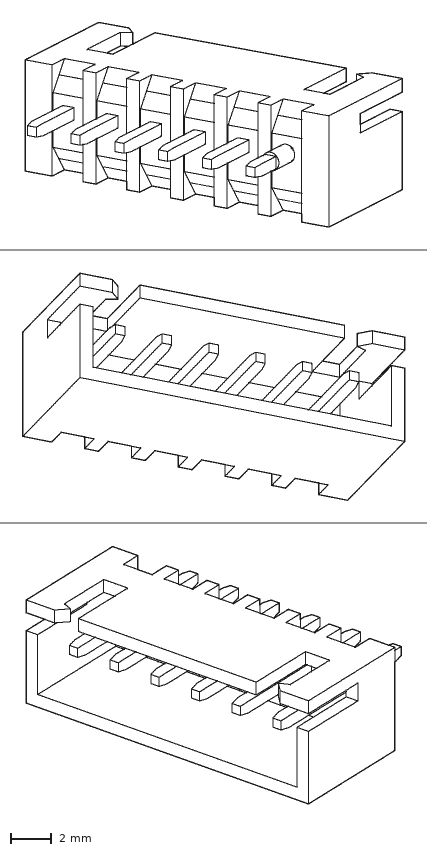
import cadquery as cq


length = 17.4
depth = 7.01
height = 5.75
wall = 0.71
back_wall = 0.7

pin_count = 6
pitch = 2.5
pin_width = 0.65
pin_tip_width = 0.5
pin_taper = 0.54
pin_z = 3.4
tail_length = 3.4
pin_inset = 0.65

collar_diameter = 0.95
collar_length = 1.5

notch_width = 1.75
notch_floor = 0.09
notch_edge = 1.17
ramp_height = 1.46

arm_width = 1.74
top_slot_width = 1.48
slot_depth = 4.0
side_slot_height = 1.0

hook_reach = 0.55
hook_tip = 0.57
hook_heel = 0.82

pin_positions = [(i - (pin_count - 1) / 2) * pitch for i in range(pin_count)]
overlap = 0.17
arm_edge = length / 2 - arm_width


def block(x_min, x_max, y_min, y_max, z_min, z_max):
    size = (x_max - x_min, y_max - y_min, z_max - z_min)
    return cq.Workplane("XY").box(*size, centered=False).translate((x_min, y_min, z_min))


def make_housing():
    shell = block(-length / 2, length / 2, 0, depth, 0, height)
    cavity_half = length / 2 - wall
    cavity = block(-cavity_half, cavity_half, back_wall, depth + overlap, wall, height - wall)
    return shell.cut(cavity)


def make_notch(x):
    """Recess around one tail: a shallow flat floor with a ramp above and below it."""
    profile = [
        (-overlap, 0),
        (notch_edge, 0),
        (notch_floor, ramp_height),
        (notch_floor, height - ramp_height),
        (notch_edge, height),
        (-overlap, height),
    ]
    return cq.Workplane("YZ").polyline(profile).close().extrude(notch_width / 2, both=True).translate((x, 0, 0))


def make_top_slot():
    return block(
        arm_edge - top_slot_width, arm_edge,
        depth - slot_depth, depth + overlap,
        height - wall - overlap, height + overlap,
    )


def make_side_slots():
    slot_top = height - wall
    reach = length / 2 + overlap
    return block(
        -reach, reach,
        depth - slot_depth, depth + overlap,
        slot_top - side_slot_height, slot_top,
    )


def make_hook():
    profile = [
        (arm_edge, depth),
        (arm_edge - hook_reach, depth - hook_tip),
        (arm_edge, depth - hook_heel),
    ]
    return cq.Workplane("XY").workplane(offset=height - wall).polyline(profile).close().extrude(wall)


def make_pin(x):
    """Square contact with both ends tapered."""
    y_min = -tail_length
    y_max = depth - pin_inset
    half = pin_width / 2
    shank = block(x - half, x + half, y_min + pin_taper, y_max - pin_taper, pin_z - half, pin_z + half)

    def tip(face):
        return (
            shank.faces(face).workplane(centerOption="CenterOfMass")
            .rect(pin_width, pin_width)
            .workplane(offset=pin_taper)
            .rect(pin_tip_width, pin_tip_width)
            .loft(combine=False)
        )

    return shank.union(tip("<Y")).union(tip(">Y"))


def make_collar(x):
    return (
        cq.Workplane("XZ", origin=(x, 0, pin_z))
        .circle(collar_diameter / 2)
        .extrude(collar_length)
    )


result = make_housing().cut(make_side_slots())

top_slot = make_top_slot()
result = result.cut(top_slot).cut(top_slot.mirror("YZ"))

hook = make_hook()
result = result.union(hook).union(hook.mirror("YZ"))

for pin_x in pin_positions:
    result = result.cut(make_notch(pin_x)).union(make_pin(pin_x))

result = result.union(make_collar(pin_positions[-1]))